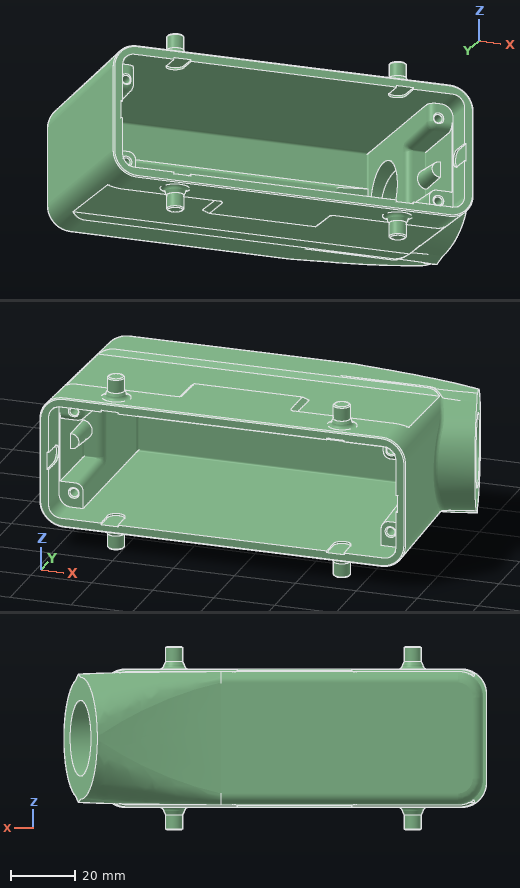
import cadquery as cq
import math


body_length = 120.0
body_depth = 62.3
body_half_height = 21.5
draft_angle = 1.0
corner_radius = 7.9
back_fillet = 3.3
lip_chamfer = 0.4
body_mid_x = body_length / 2
side_drop = math.tan(math.radians(draft_angle))

wall = 3.0
cavity_corner_radius = 4.0
cavity_depth = body_depth - wall
end_block = 7.9
floor_fillet = 0.8
shelf_fillet = 0.5
post_face_y = 9.6
shelf_y = 28.9
channel_half_width = 10.6
channel_draft = 3.0
post_corner_radius = 2.5
post_hole_z = 13.5
post_hole_inset = 8.0
post_hole_diameter = 2.8
post_hole_mouth_diameter = 3.5
post_hole_depth = 13.1

stop_radius = 2.5
stop_base_radius = 3.3
stop_inset = 1.2
stop_face_y = 18.4

ridge_base_half_width = 5.7
ridge_top_half_width = 3.4
ridge_height = 4.0
ridge_ramp = 12.1
ridge_fillet = 0.7

pin_xs = (23.0, 97.1)
pin_y = 6.3
pin_tip_z = 28.5
pin_diameter = 5.4
pin_chamfer = 0.4
pin_collar_diameter = 6.5
pin_collar_z = 22.7
pin_cone_z = 23.8
pin_flare_diameter = 9.5
pin_flare_hollow = 0.3
keyway_width = 5.7
keyway_depth = 0.5

panel_low_y = 14.8
panel_high_y = 45.1
panel_low_z = 20.0
panel_high_z = 19.2
panel_edge_angle = 50.0
panel_end_overrun = 6.6
panel_cutter_height = 4.0
tongue_left_x = 40.3
tongue_right_x = 79.1
tongue_y = 27.7

entry_angle = 16.0
entry_radius = 18.9
entry_tip_x = 131.4
entry_tip_y = 70.0
entry_length = 23.7
entry_shoulder_half_width = 20.0
entry_thread_diameter = 23.5
entry_thread_depth = 11.8
entry_bore_diameter = 21.0
entry_root_radius = 1.3
blend_start_x = 82.5
blend_bottom_y = 47.6
blend_overlap = 0.7
blend_foot_drop = 3.4
blend_foot_half_width = 17.9
blend_sections = (
    (95.3, 4.0, -4.3, 11.7, 20.6, 20.5, 6.7),
    (108.4, 8.0, -4.5, 14.2, 20.5, 20.2, 11.4),
)
entry_end_shoulder = -2.5
entry_end_radius = 18.7

entry_tilt = math.radians(entry_angle)
entry_x = entry_tip_x - entry_radius * math.sin(entry_tilt)
entry_y = entry_tip_y - entry_radius * math.cos(entry_tilt)


def facing_y(x, y):
    """Workplane looking along +Y; local axes are +X and -Z."""
    return cq.Workplane(cq.Plane(origin=(x, y, 0), xDir=(1, 0, 0), normal=(0, 1, 0)))


def drafted_block(x0, x1, half_height, depth, draft):
    """Rectangle in X and Z, extruded from the mouth along +Y and narrowing with the draft angle."""
    return facing_y((x0 + x1) / 2, 0).rect(x1 - x0, 2 * half_height).extrude(depth, taper=draft)


def shell():
    """Solid drafted outside of the hood, before it is hollowed."""
    block = drafted_block(0, body_length, body_half_height, body_depth, draft_angle)
    return (block.edges("not #Y").fillet(corner_radius)
            .faces(">Y").edges().fillet(back_fillet)
            .faces("<Y").edges().chamfer(lip_chamfer))


def panel_cutter():
    """Cutter for the +Z panel: a tilted floor with a tongue left standing, and sloping edges."""
    rise = panel_high_y - panel_low_y
    tilt = math.atan2(panel_low_z - panel_high_z, rise)
    floor = cq.Plane(origin=(0, panel_low_y, panel_low_z), xDir=(1, 0, 0),
                     normal=(0, math.sin(tilt), math.cos(tilt)))
    top = rise / math.cos(tilt)
    tongue_top = (tongue_y - panel_low_y) / math.cos(tilt)
    overrun = panel_end_overrun
    outline = [
        (-overrun, 0), (tongue_left_x, 0), (tongue_left_x, tongue_top),
        (tongue_right_x, tongue_top), (tongue_right_x, 0), (body_length + overrun, 0),
        (body_length + overrun, top), (-overrun, top),
    ]
    return cq.Workplane(floor).polyline(outline).close().extrude(
        panel_cutter_height, taper=-panel_edge_angle)


def entry_plane(x, y, angle):
    """Plane across the cable entry: local X is -Z, local Y points to the back."""
    tilt = math.radians(angle)
    return cq.Plane(origin=(x, y, 0), xDir=(0, 0, -1), normal=(math.cos(tilt), math.sin(tilt), 0))


def arch(plane, foot, shoulder, top, shoulder_half, half, radius):
    """Closed arch: narrow foot, sides leaning in from the shoulder, two round corners, flat crown."""
    diagonal = radius * math.sqrt(0.5)
    flat = half - radius
    spring = top - radius
    return (cq.Workplane(plane)
            .moveTo(-blend_foot_half_width, foot).lineTo(blend_foot_half_width, foot)
            .lineTo(shoulder_half, shoulder).lineTo(half, spring)
            .threePointArc((flat + diagonal, spring + diagonal), (flat, top))
            .lineTo(-flat, top)
            .threePointArc((-flat - diagonal, spring + diagonal), (-half, spring))
            .lineTo(-shoulder_half, shoulder).close().wires().val())


def entry_blend():
    """Smooth change from the drafted shell to the round back half of the cable entry."""
    start_shoulder_half = body_half_height - side_drop * blend_bottom_y
    start_half = body_half_height - side_drop * (body_depth - back_fillet)
    start = arch(entry_plane(blend_start_x, 0, 0), blend_bottom_y - blend_foot_drop, blend_bottom_y,
                 body_depth, start_shoulder_half, start_half, back_fillet)
    sections = [start]
    for x, angle, shoulder, top, shoulder_half, half, radius in blend_sections:
        sections.append(arch(entry_plane(x, entry_y, angle), shoulder - blend_foot_drop, shoulder,
                             top, shoulder_half, half, radius))
    end = arch(entry_end, entry_end_shoulder - blend_foot_drop, entry_end_shoulder, entry_radius,
               entry_shoulder_half_width, entry_radius, entry_end_radius)
    return cq.Workplane(cq.Solid.makeLoft(sections + [end]))


def blend_room():
    """Back corner of the shell, which the blend replaces."""
    return cq.Workplane("XY").box(
        body_length, body_depth, 2 * body_length, centered=(False, False, True)
    ).translate((blend_start_x, blend_bottom_y + blend_overlap, 0))


def entry_tube():
    """Round pipe of the cable entry, running from its open end into the shell."""
    return cq.Workplane(entry_end).circle(entry_radius).extrude(-entry_length)


def entry_bore():
    """Stepped hole from the open end of the entry into the cavity."""
    thread = cq.Workplane(entry_end).circle(entry_thread_diameter / 2).extrude(-entry_thread_depth)
    return thread.union(cq.Workplane(entry_end).circle(entry_bore_diameter / 2).extrude(-entry_length))


def cavity():
    """Deep middle pocket, joined to the full-length mouth and to the channels over the end shelves."""
    x0 = wall
    x1 = body_length - wall
    half = body_half_height - wall
    mouth = drafted_block(x0, x1, half, post_face_y, draft_angle)
    mouth = mouth.edges("not #Y").fillet(cavity_corner_radius)
    middle = drafted_block(x0 + end_block, x1 - end_block, half, cavity_depth, draft_angle)
    channel = drafted_block(x0, x1, channel_half_width, shelf_y, channel_draft)
    middle = middle.faces(">Y").edges().fillet(floor_fillet)
    channel = channel.faces(">Y").edges().fillet(shelf_fillet)
    hollow = mouth.union(middle).union(channel)
    reach = post_corner_radius / 2
    for x in (x0 + end_block, x1 - end_block):
        for z in (-channel_half_width, channel_half_width):
            corner = cq.selectors.BoxSelector(
                (x - reach, post_face_y, z - reach), (x + reach, shelf_y, z + reach))
            hollow = hollow.edges(corner).fillet(post_corner_radius)
    return hollow


def post_holes():
    """Screw holes in the four corner posts, each with a short countersink."""
    left_x = post_hole_inset
    right_x = body_length - post_hole_inset
    places = [(x, z) for x in (left_x, right_x) for z in (-post_hole_z, post_hole_z)]
    sink = (post_hole_mouth_diameter - post_hole_diameter) / 2
    drill = facing_y(0, post_face_y).pushPoints(places).circle(
        post_hole_diameter / 2).extrude(post_hole_depth)
    for x, z in places:
        drill = drill.union(cq.Workplane(cq.Solid.makeCone(
            post_hole_mouth_diameter / 2, post_hole_diameter / 2, sink,
            cq.Vector(x, post_face_y, z), cq.Vector(0, 1, 0))))
    return drill


def end_stop(x):
    """Half-round stop growing wider down to its shelf; its other half sinks into the end wall."""
    return cq.Workplane(cq.Solid.makeCone(
        stop_radius, stop_base_radius, shelf_y - stop_face_y,
        cq.Vector(x, stop_face_y, 0), cq.Vector(0, 1, 0)))


def ridge():
    """Trapezoidal rib along the back wall, with a ramp in front of the cable entry."""
    x0 = wall + end_block
    x1 = body_length - wall - end_block
    floor = cavity_depth
    crest = floor - ridge_height
    section = [
        (floor, ridge_base_half_width), (crest, ridge_top_half_width),
        (crest, -ridge_top_half_width), (floor, -ridge_base_half_width),
    ]
    bar = cq.Workplane("YZ", origin=(x0, 0, 0)).polyline(section).close().extrude(x1 - x0)
    ramp_end = x1 - side_drop * floor
    ramp = cq.Workplane("XY").polyline([
        (ramp_end - ridge_ramp, crest), (x1, crest),
        (x1, floor), (ramp_end, floor),
    ]).close().extrude(ridge_base_half_width, both=True)
    return bar.cut(ramp).faces("<Y").edges().fillet(ridge_fillet)


def locking_pin(x):
    """Pin on the +Z side: chamfered tip, conical collar and a concave flare onto the shell."""
    tip = pin_diameter / 2
    collar = pin_collar_diameter / 2
    flare = pin_flare_diameter / 2
    root = body_half_height - side_drop * pin_y
    sunk = root - wall / 2
    flare_mid = (collar + (flare - collar) * pin_flare_hollow,
                 root + (pin_collar_z - root) * pin_flare_hollow)
    return (cq.Workplane("XZ").moveTo(0, sunk).lineTo(flare, sunk).lineTo(flare, root)
            .threePointArc(flare_mid, (collar, pin_collar_z))
            .lineTo(tip, pin_cone_z).lineTo(tip, pin_tip_z - pin_chamfer)
            .lineTo(tip - pin_chamfer, pin_tip_z).lineTo(0, pin_tip_z).close()
            .revolve(360, (0, 0, 0), (0, 1, 0)).translate((x, pin_y, 0)))


def keyways():
    """Round-ended grooves from the mouth: one under each pin and one at each end wall."""
    inner_half = body_half_height - wall
    half_span = inner_half + keyway_depth
    tip_y = pin_y + keyway_width / 2
    side = cq.Workplane("XY").pushPoints([(x, 0) for x in pin_xs]).slot2D(
        2 * tip_y, keyway_width, 90).extrude(half_span, both=True)
    end = cq.Workplane("YZ", origin=(body_mid_x, 0, 0)).slot2D(2 * tip_y, keyway_width).extrude(
        body_length / 2 - wall + keyway_depth, both=True)
    return side.union(end)


entry_end = entry_plane(entry_x, entry_y, entry_angle)

panel = panel_cutter()
hood = shell().cut(panel).cut(panel.mirror("XY")).cut(blend_room())
hood = hood.union(entry_tube()).union(entry_blend())
root_edges = cq.selectors.BoxSelector(
    (body_length - corner_radius / 2, shelf_y, -entry_radius), (body_length, panel_high_y, entry_radius))
hood = hood.edges(root_edges).fillet(entry_root_radius)
hood = hood.cut(cavity())

fittings = ridge()
stop_offset = wall + stop_inset
for stop_x in (stop_offset, body_length - stop_offset):
    fittings = fittings.union(end_stop(stop_x))
for pin_x in pin_xs:
    pin = locking_pin(pin_x)
    fittings = fittings.union(pin).union(pin.mirror("XY"))

hood = hood.union(fittings)
result = hood.cut(keyways()).cut(post_holes()).cut(entry_bore())